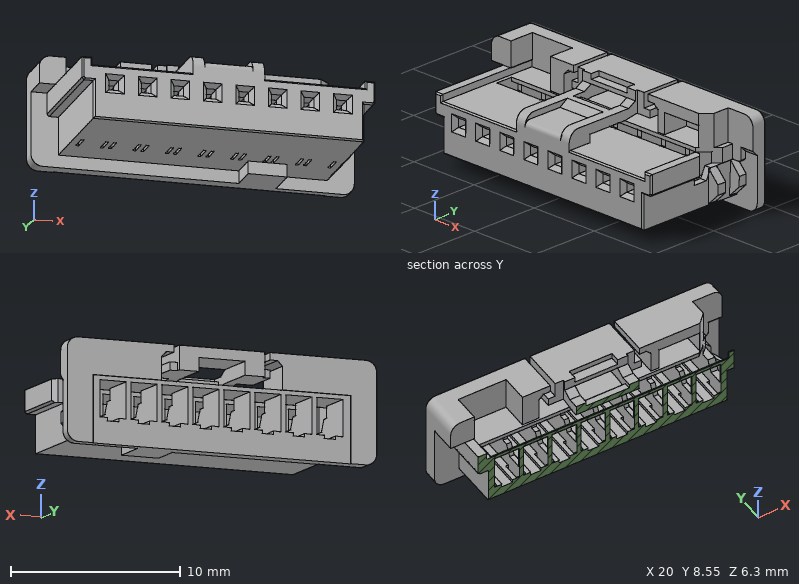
import cadquery as cq

width = 20.0
depth = 8.55
height = 6.3
corner_radius = 0.7

body_half = 8.32
wing_half = 9.02
body_bottom = 0.78
body_top = 4.1
wing_bottom = 3.12
wing_top = 4.55
wing_inner = 8.4
wing_edge_chamfer = 0.15
front_chamfer = 0.1
wing_end_chamfer = 0.28

flange_depth = 1.0
right_flange_depth = 0.65
right_flange_step = 3.75
left_hood_inner = -8.35
left_hood_depth = 2.8
block_depth = 2.85
left_recess_edge = -5.05
rear_recess = 0.08
tongue_left = 2.78
tongue_width = 2.4
tongue_depth = 3.0

right_block_edge = 7.95
corner_cut_x = 8.3
corner_cut_y = 1.85
block_pocket_left = 4.45
block_pocket_right = 7.28
block_pocket_top = 5.52

opening_half = 3.9
opening_top_half = 3.1
opening_lip = 5.85
opening_chamfer = 0.32

lid_half = 2.75
lid_underside = 5.65
lid_bottom = 4.8
foot_half = 3.25
foot_top = 5.3
foot_rear = 0.3
arm_half = 2.2
window_half = 1.48
arm_top = 5.32
arm_bottom = 4.65
arm_root = 6.8
arm_join = 3.0
arm_ramp_end = 3.58
arm_nose = 0.78
notch_start = 2.35
notch_floor = 5.95
bar_ledge_start = 3.85
bar_start = 4.48
bar_end = 5.0
bar_ramp_end = 5.62
bar_ledge = 5.05
pad_top = 4.92
pad_nose = pad_top - (arm_top - arm_nose)

contact_count = 8
pitch = 2.0
partition = 0.32
chamber_front = 7.2
chamber_floor = 1.4
chamber_shelf = 1.6
chamber_top = 3.85
channel_width = 0.72
floor_width = 1.35
pin_hole = 0.6
pin_funnel = 1.15
funnel_depth = 0.3
pin_height = 3.0
slot_rear = 2.98
slot_front = 4.22
slit_rear = 3.05
slot_left = -8.12
partition_top = 3.12
partition_step = 2.45
partition_slope_start = 2.85
partition_slope_end = 3.22
partition_low = 2.4

key_tip = 9.08
key_bottom = 0.85
rear_rib_front = 1.28
rear_rib_slope = 0.1
front_rib_rear = 2.35
front_rib_front = 3.02
key_tip_bottom = 1.62
key_tip_top = 2.3

chamber_width = pitch - partition
contact_x = [(i - (contact_count - 1) / 2) * pitch for i in range(contact_count)]
chamber_half = contact_x[-1] + chamber_width / 2


def block(x, front, rear, z):
    """Box between two X values, from `rear` to `front` behind the rear face, between two Z values."""
    size = (x[1] - x[0], front - rear, z[1] - z[0])
    return cq.Workplane("XY").box(*size, centered=False).translate((x[0], -front, z[0]))


def extrude_y(points, front, rear):
    """Outline in X and Z, extruded from `rear` to `front`."""
    return cq.Workplane("XZ", origin=(0, -rear, 0)).polyline(points).close().extrude(front - rear)


def make_body():
    right = [
        (body_half, body_bottom),
        (body_half, wing_bottom),
        (wing_half - wing_edge_chamfer, wing_bottom),
        (wing_half, wing_bottom + wing_edge_chamfer),
        (wing_half, wing_top),
        (wing_inner, wing_top),
        (wing_inner, body_top),
    ]
    left = [(-x, z) for x, z in reversed(right)]
    body = extrude_y(right + left, depth, 0)
    return body.faces("<Y").chamfer(front_chamfer)


def make_flange():
    full = block((-width / 2, width / 2), block_depth, 0, (0, height)).edges("|Y").fillet(corner_radius)

    keep = block((-width / 2, width / 2), flange_depth, 0, (0, height))
    keep = keep.union(block((-width / 2, left_hood_inner), left_hood_depth, 0, (wing_top, height)))
    keep = keep.union(block((left_hood_inner, corner_cut_x), block_depth, 0, (body_top, height)))
    flange = full.intersect(keep)

    flange = flange.cut(
        block((left_hood_inner, left_recess_edge), block_depth, flange_depth, (body_top, height)))
    flange = flange.cut(
        block((block_pocket_left, block_pocket_right), block_depth, flange_depth,
              (body_top, block_pocket_top)))
    flange = flange.cut(
        block((right_block_edge, corner_cut_x), block_depth, flange_depth, (body_top, height)))

    step_height = flange_depth - right_flange_depth
    relief = (
        cq.Workplane("YZ", origin=(tongue_left + tongue_width, 0, 0))
        .polyline([
            (-flange_depth, 0),
            (-right_flange_depth, 0),
            (-right_flange_depth, right_flange_step),
            (-flange_depth, right_flange_step + step_height),
        ])
        .close()
        .extrude(width)
    )
    flange = flange.cut(relief)
    tongue = block((tongue_left, tongue_left + tongue_width), tongue_depth, 0, (0, body_bottom))
    return flange.union(tongue)


def make_latch_opening():
    right = [
        (opening_half, body_top),
        (opening_half, opening_lip - opening_chamfer),
        (opening_half - opening_chamfer, opening_lip),
        (opening_top_half, opening_lip),
        (opening_top_half, height),
    ]
    left = [(-x, z) for x, z in reversed(right)]
    return extrude_y(right + left, block_depth, 0)


def make_right_corner_cut():
    """Clears the right end above the side wall, with a 45 degree corner behind the slot."""
    slope_x = corner_cut_x - (slot_rear - corner_cut_y)
    wing_corner = wing_half - wing_end_chamfer
    return (
        cq.Workplane("XY", origin=(0, 0, partition_top))
        .polyline([
            (corner_cut_x, -flange_depth),
            (corner_cut_x, -corner_cut_y),
            (slope_x, -slot_rear),
            (slope_x, -slot_front),
            (wing_corner, -slot_front),
            (wing_half, -slot_front - wing_end_chamfer),
            (width / 2, -slot_front - wing_end_chamfer),
            (width / 2, -flange_depth),
        ])
        .close()
        .extrude(height)
    )


def make_chamber(x):
    """One contact chamber: rear cavity, floor channel, slits beside the floor and tapered front hole."""
    half = chamber_width / 2
    chamber = block((x - half, x + half), chamber_front, 0, (chamber_shelf, chamber_top))
    channel = block((x - channel_width / 2, x + channel_width / 2), chamber_front, 0,
                    (chamber_floor, chamber_shelf))
    chamber = chamber.union(channel)
    for inner, outer in ((-half, -floor_width / 2), (floor_width / 2, half)):
        slit = block((x + inner, x + outer), slot_front, slit_rear, (0, chamber_shelf))
        chamber = chamber.union(slit)
    hole = (
        cq.Workplane("XZ", origin=(x, -chamber_front, pin_height))
        .rect(pin_hole, pin_hole)
        .extrude(depth - chamber_front)
    )
    funnel = (
        cq.Workplane("XZ", origin=(x, -depth, pin_height))
        .rect(pin_funnel, pin_funnel)
        .workplane(offset=-funnel_depth)
        .rect(pin_hole, pin_hole)
        .loft(ruled=True)
    )
    return chamber.union(hole).union(funnel)


def make_slot():
    """Cross slot in the top plate, with the partitions lowered and sloped below it."""
    slot = block((slot_left, chamber_half), slot_front, slot_rear, (partition_top, body_top))
    profile = [
        (-partition_step, chamber_top),
        (-partition_step, partition_top),
        (-partition_slope_start, partition_top),
        (-partition_slope_end, partition_low),
        (-slot_front, partition_low),
        (-slot_front, chamber_top),
    ]
    relief = (
        cq.Workplane("YZ", origin=(slot_left, 0, 0))
        .polyline(profile)
        .close()
        .extrude(body_half - slot_left)
    )
    return slot.union(relief)


def make_latch_lid():
    lid = block((-lid_half, lid_half), block_depth, 0, (lid_bottom, height))
    lid = lid.union(block((-foot_half, foot_half), block_depth, foot_rear, (lid_bottom, foot_top)))
    lid = lid.union(block((-arm_half, arm_half), arm_join, block_depth, (lid_bottom, height)))
    lid = lid.cut(block((-window_half, window_half), arm_join, 0, (lid_bottom, lid_underside)))
    return lid.cut(block((-window_half, window_half), arm_join, notch_start, (notch_floor, height)))


def make_latch_arm():
    """Spring arm rooted at the front of the body and reaching back to the lid."""
    arm = (
        cq.Workplane("YZ", origin=(-arm_half, 0, 0))
        .moveTo(-arm_join, lid_underside)
        .lineTo(-arm_ramp_end, arm_top)
        .lineTo(-depth + arm_nose, arm_top)
        .radiusArc((-depth, arm_top - arm_nose), -arm_nose)
        .lineTo(-depth, body_top - front_chamfer)
        .lineTo(-arm_root, body_top - front_chamfer)
        .lineTo(-arm_root, arm_bottom)
        .lineTo(-bar_ledge_start, arm_bottom)
        .lineTo(-arm_join, lid_bottom)
        .close()
        .extrude(2 * arm_half)
    )
    hollow = (
        cq.Workplane("YZ", origin=(-window_half, 0, 0))
        .moveTo(-bar_end, height)
        .lineTo(-bar_end, arm_top)
        .lineTo(-bar_ramp_end, pad_top)
        .lineTo(-depth + pad_nose, pad_top)
        .radiusArc((-depth, pad_top - pad_nose), -pad_nose)
        .lineTo(-depth, height)
        .close()
        .extrude(2 * window_half)
    )
    window = block((-window_half, window_half), bar_ledge_start, arm_join, (arm_bottom, height))
    ledge = block((-window_half, window_half), bar_start, bar_ledge_start, (bar_ledge, height))
    return arm.cut(hollow).cut(window).cut(ledge)


def make_key_rib(rear, front, slope=0.0):
    """Tapered rib beside the body; its front face leans back by `slope` from bottom to top."""
    outline = [
        (body_half, key_bottom),
        (key_tip, key_tip_bottom),
        (key_tip, key_tip_top),
        (body_half, wing_bottom),
    ]
    side = (
        cq.Workplane("YZ", origin=(body_half, 0, 0))
        .polyline([
            (-rear, key_bottom),
            (-front, key_bottom),
            (-front + slope, wing_bottom),
            (-rear, wing_bottom),
        ])
        .close()
        .extrude(key_tip - body_half)
    )
    return extrude_y(outline, front, rear).intersect(side)


housing = make_body().union(make_flange())
housing = housing.cut(make_latch_opening()).cut(make_right_corner_cut())
for x in contact_x:
    housing = housing.cut(make_chamber(x))
housing = housing.cut(make_slot())

housing = housing.cut(block((-body_half, body_half), rear_recess, 0, (0, body_top)))

housing = housing.union(make_key_rib(right_flange_depth, rear_rib_front, rear_rib_slope))
housing = housing.union(make_key_rib(front_rib_rear, front_rib_front))

result = housing.union(make_latch_arm()).union(make_latch_lid())